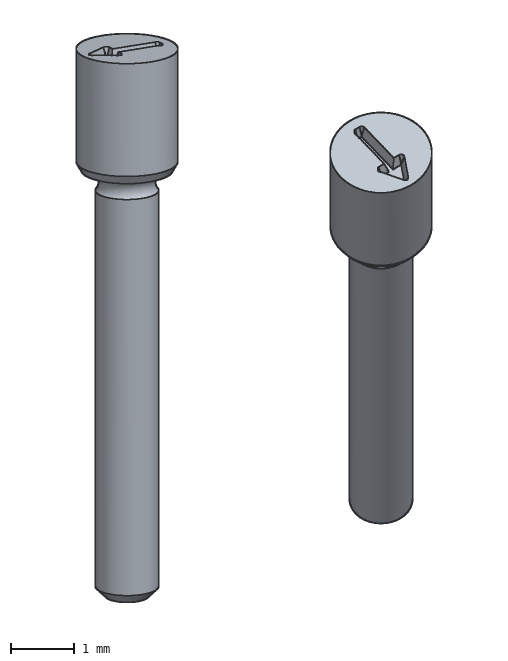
import cadquery as cq
import math

total_length = 9.0
head_diameter = 1.6
shank_diameter = 1.0
head_length = 2.0

head_chamfer_width = 0.08
head_chamfer_height = 0.14
tip_chamfer = 0.16

neck_radius = 0.45
groove_radius = 0.2

arrow_depth = 0.2
arrow_wall_spread = 0.05
arrow_stem_half_width = 0.0405
arrow_head_half_width = 0.2
arrow_tail_y = 0.56
arrow_shoulder_y = -0.26
arrow_point_y = -0.62


def make_pin():
    """Revolve the half outline of head, neck groove and shank about Z."""
    head_radius = head_diameter / 2
    shank_radius = shank_diameter / 2
    head_bottom = total_length - head_length

    groove_center_r = neck_radius + groove_radius
    groove_center_z = head_bottom - groove_radius
    shank_top = groove_center_z - math.sqrt(groove_radius**2 - (groove_center_r - shank_radius) ** 2)

    outline = (
        cq.Workplane("XZ")
        .moveTo(0, 0)
        .lineTo(shank_radius - tip_chamfer, 0)
        .lineTo(shank_radius, tip_chamfer)
        .lineTo(shank_radius, shank_top)
        .threePointArc((neck_radius, groove_center_z), (groove_center_r, head_bottom))
        .lineTo(head_radius - head_chamfer_width, head_bottom)
        .lineTo(head_radius, head_bottom + head_chamfer_height)
        .lineTo(head_radius, total_length)
        .lineTo(0, total_length)
        .close()
    )
    return outline.revolve(360, (0, 0, 0), (0, 1, 0))


def make_arrow_cutter():
    """Arrow that widens from its floor up to the head's top face."""
    right_side = [
        (arrow_stem_half_width, arrow_tail_y),
        (arrow_stem_half_width, arrow_shoulder_y),
        (arrow_head_half_width, arrow_shoulder_y),
    ]
    left_side = [(-x, y) for x, y in reversed(right_side)]
    wall_angle = math.degrees(math.atan2(arrow_wall_spread, arrow_depth))
    return (
        cq.Workplane("XY", origin=(0, 0, total_length - arrow_depth))
        .polyline(right_side + [(0, arrow_point_y)] + left_side)
        .close()
        .extrude(arrow_depth, taper=-wall_angle)
    )


result = make_pin().cut(make_arrow_cutter())